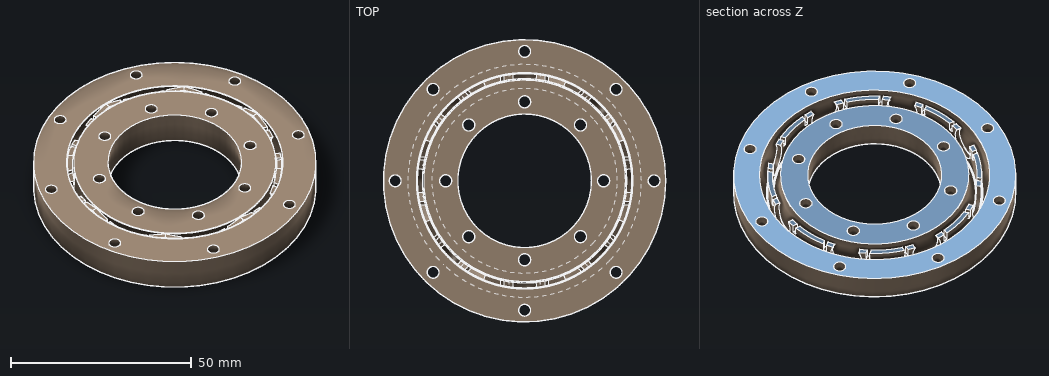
import cadquery as cq
import math

THICKNESS = 10.0
MID_HEIGHT = THICKNESS / 2

OUTER_RING_OD = 78.3
OUTER_RING_BORE = 60.0
OUTER_HOLE_DIAMETER = 3.2
OUTER_HOLE_CIRCLE = 71.7

INNER_RING_OD = 56.0
INNER_RING_BORE = 37.0
INNER_HOLE_DIAMETER = 3.3
INNER_HOLE_CIRCLE = 43.8

HOLE_COUNT = 8
LIP_HEIGHT = 0.2
GROOVE_DEPTH = 2.35
GROOVE_HALF_HEIGHT = MID_HEIGHT - LIP_HEIGHT
GROOVE_RADIUS = (GROOVE_HALF_HEIGHT**2 + GROOVE_DEPTH**2) / (2 * GROOVE_DEPTH)

CAGE_OD = 59.4
CAGE_ID = 56.6
ROOF_SLOPE = 0.26
POCKET_COUNT = 8
POCKET_PITCH = 360 / POCKET_COUNT
POCKET_RADIUS = 4.4
POCKET_CIRCLE_RADIUS = (CAGE_OD + CAGE_ID) / 4
SLIT_WIDTH = 0.95
SLIT_LENGTH = 4.7
SLIT_OFFSET = 6.2
SLIT_FLOOR = MID_HEIGHT


def plain_ring(outer_diameter, inner_diameter):
    """A flat ring standing on the XY plane."""
    return cq.Workplane("XY").circle(outer_diameter / 2).circle(inner_diameter / 2).extrude(THICKNESS)


def groove_cutter(arc_center_radius):
    """The torus that cuts an arc-shaped raceway at mid height."""
    center = cq.Vector(0, 0, MID_HEIGHT)
    return cq.Workplane(cq.Solid.makeTorus(arc_center_radius, GROOVE_RADIUS, center))


def mounting_holes(diameter, circle_diameter):
    """Through holes evenly spaced on a circle."""
    return (
        cq.Workplane("XY")
        .polarArray(circle_diameter / 2, 0, 360, HOLE_COUNT)
        .circle(diameter / 2)
        .extrude(THICKNESS)
    )


def make_outer_ring():
    """The outer ring, with its raceway in the bore."""
    groove_bottom = OUTER_RING_BORE / 2 + GROOVE_DEPTH
    ring = plain_ring(OUTER_RING_OD, OUTER_RING_BORE)
    ring = ring.cut(groove_cutter(groove_bottom - GROOVE_RADIUS))
    return ring.cut(mounting_holes(OUTER_HOLE_DIAMETER, OUTER_HOLE_CIRCLE))


def make_inner_ring():
    """The inner ring, with its raceway around the outside."""
    groove_bottom = INNER_RING_OD / 2 - GROOVE_DEPTH
    ring = plain_ring(INNER_RING_OD, INNER_RING_BORE)
    ring = ring.cut(groove_cutter(groove_bottom + GROOVE_RADIUS))
    return ring.cut(mounting_holes(INNER_HOLE_DIAMETER, INNER_HOLE_CIRCLE))


def cage_roof():
    """Gabled blocks fanning out from the axis, each with a level ridge midway between two pockets."""
    half_width = CAGE_OD / 2 * math.tan(math.pi / POCKET_COUNT)
    eaves = THICKNESS - half_width * ROOF_SLOPE
    outline = [
        (-half_width, 0),
        (half_width, 0),
        (half_width, eaves),
        (0, THICKNESS),
        (-half_width, eaves),
    ]
    gable = cq.Workplane("YZ").polyline(outline).close().extrude(CAGE_OD)
    roof = cq.Workplane("XY")
    for index in range(POCKET_COUNT):
        roof = roof.union(gable.rotate((0, 0, 0), (0, 0, 1), (index + 0.5) * POCKET_PITCH))
    return roof


def pocket_cutter():
    """One spherical ball pocket on the +X side, with a slit on either side of it."""
    pocket = cq.Workplane("XY").sphere(POCKET_RADIUS).translate((POCKET_CIRCLE_RADIUS, 0, MID_HEIGHT))
    slits = (
        cq.Workplane("XY", origin=(POCKET_CIRCLE_RADIUS, 0, SLIT_FLOOR))
        .pushPoints([(0, -SLIT_OFFSET), (0, SLIT_OFFSET)])
        .rect(SLIT_LENGTH, SLIT_WIDTH)
        .extrude(THICKNESS - SLIT_FLOOR)
    )
    return pocket.union(slits)


def make_cage():
    """The ball cage: a ring whose top slopes down to each pocket from the ridges between them."""
    cage = plain_ring(CAGE_OD, CAGE_ID).intersect(cage_roof())
    cutter = pocket_cutter()
    for index in range(POCKET_COUNT):
        cage = cage.cut(cutter.rotate((0, 0, 0), (0, 0, 1), index * POCKET_PITCH))
    return cage


outer_ring = make_outer_ring().solids()
inner_ring = make_inner_ring().solids()
cage = make_cage().solids()

result = cq.Compound.makeCompound([outer_ring.val(), inner_ring.val(), cage.val()])